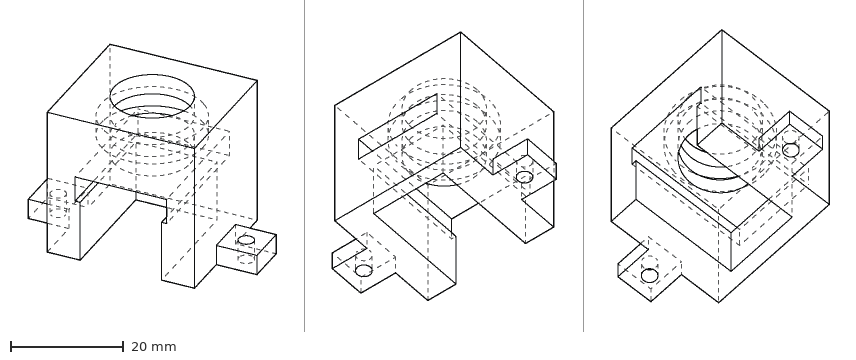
import cadquery as cq

BODY_X = 29
BODY_Y = 26
BODY_Z = 29

TOTAL_X = 45
TAB_Y = 8
TAB_Z = 4
TAB_HOLE_DIAMETER = 2.95
TAB_HOLE_X = 18.5

CHANNEL_X = 16
CHANNEL_Z = 12
END_WALL_Y = 3

SLOT_X = 18
SLOT_Z = 5

BORE_DIAMETER = 15
GROOVE_DIAMETER = 20
GROOVE_Z = 4

SLOT_TOP_Z = CHANNEL_Z + SLOT_Z
ROOF_Z = BODY_Z - SLOT_TOP_Z
GROOVE_FLOOR_Z = SLOT_TOP_Z + (ROOF_Z - GROOVE_Z) / 2


def block(size_x, size_y, size_z, base_z=0):
    """Box centred on the Z axis with its underside at base_z."""
    box = cq.Workplane("XY").box(size_x, size_y, size_z, centered=(True, True, False))
    return box.translate((0, 0, base_z))


def cylinder(diameter, height, base_z=0):
    """Vertical cylinder on the Z axis with its underside at base_z."""
    return cq.Workplane("XY").workplane(offset=base_z).circle(diameter / 2).extrude(height)


def tabs():
    """Bar across the block whose drilled ends form the two tabs."""
    bar = block(TOTAL_X, TAB_Y, TAB_Z)
    for hole_x in (-TAB_HOLE_X, TAB_HOLE_X):
        bar = bar.cut(cylinder(TAB_HOLE_DIAMETER, TAB_Z).translate((hole_x, 0, 0)))
    return bar


def channel():
    """Space cut from the block below the roof."""
    lower = block(CHANNEL_X, BODY_Y - END_WALL_Y, CHANNEL_Z).translate((0, -END_WALL_Y / 2, 0))
    slot = block(SLOT_X, BODY_Y, SLOT_Z, CHANNEL_Z)
    return lower.union(slot)


def grooved_bore():
    """Through bore in the roof with its internal groove."""
    bore = cylinder(BORE_DIAMETER, ROOF_Z, SLOT_TOP_Z)
    groove = cylinder(GROOVE_DIAMETER, GROOVE_Z, GROOVE_FLOOR_Z)
    return bore.union(groove)


body = block(BODY_X, BODY_Y, BODY_Z).union(tabs())
result = body.cut(channel()).cut(grooved_bore())